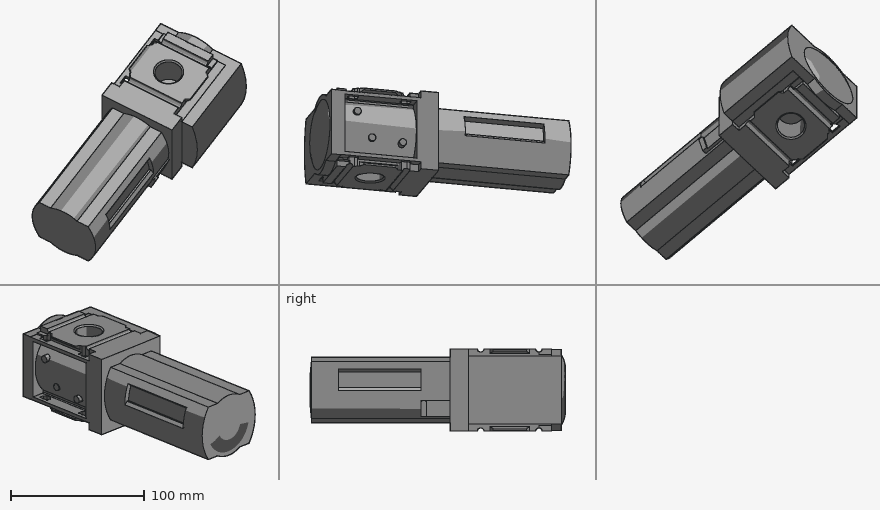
import cadquery as cq
import math


TOTAL_LENGTH = 192.0
DOME_TOP_Y = 41.9
BACK_Y = 38.8
END_CONE_HEIGHT = 1.0
HANDLE_TIP_Y = DOME_TOP_Y - TOTAL_LENGTH
HANDLE_END_Y = HANDLE_TIP_Y + END_CONE_HEIGHT
PLATE_FRONT_Y = 31.3
FLANGE_FRONT_Y = -31.1
HOUSING_FRONT_Y = -45.0

TOTAL_WIDTH = 75.8
HOUSING_SIZE = 62.0
HOUSING_HALF = HOUSING_SIZE / 2
FLANGE_HALF_HEIGHT = 25.5
COVER_HALF_HEIGHT = 25.7
RAISED_HALF_WIDTH = 24.0
COVER_SHOULDER_X = 40.3
COVER_CROWN_X = TOTAL_WIDTH - HOUSING_HALF
BULGE_HALF_WIDTH = 15.2
BULGE_HEIGHT = 30.5

DOME_RADIUS = 26.7
DOME_FLAT_RADIUS = 16.5
DOME_MID_RADIUS = 22.8
DOME_MID_Y = 40.7

GROOVE_WIDTH = 4.8
GROOVE_RADIUS = GROOVE_WIDTH / 2
GROOVE_Y = 21.9
NOTCH_INNER_X = 20.0
NOTCH_FLOOR_Z = 26.7
SLOT_Y = 20.5
SLOT_OUTER_X = 27.6
SLOT_HALF_LENGTH = 3.8
SLOT_DEPTH_IN_PAD = 2.0
SLOT_TIP_HALF_LENGTH = 2.1
EAR_OUTER_X = 27.0
EAR_ROOT_HALF_LENGTH = 15.0
EAR_TIP_HALF_LENGTH = 12.5
EAR_ROOT_BOTTOM_Z = 27.5
EAR_TIP_BOTTOM_Z = 29.2
EAR_TIP_TOP_Z = 30.5

PORT_RADIUS = 10.2
PORT_MOUTH_RADIUS = 11.3
PORT_DEPTH = 23.0

WINDOW_BACK_Y = 28.2
WINDOW_FRONT_Y = -28.0
WINDOW_HALF_HEIGHT = 22.8
WINDOW_FLOOR_X = 20.4
WINDOW_FLOOR_CHAMFER = 0.8
CORE_RADIUS = 28.8
PIN_DIAMETER = 5.5
PINS = [(17.9, 11.0, 29.5), (6.1, -8.6, 28.5), (-17.3, -11.0, 30.3)]

HANDLE_WIDTH = 56.3
HANDLE_FLATS = 43.2
HANDLE_SIDE_X = HANDLE_WIDTH / 2
HANDLE_CORNER = HANDLE_FLATS / 2
HANDLE_BULGE_HALF_WIDTH = 11.7
HANDLE_BULGE_HEIGHT = 24.8
END_CONE_RADIUS = HANDLE_CORNER
END_FLAT_RADIUS = 11.5

GRIP_BACK_Y = -66.6
GRIP_FRONT_Y = -128.8
GRIP_OPENING_Z = (-0.4, 16.0)
GRIP_FLOOR_Z = (2.0, 13.5)
GRIP_DEPTH = 3.8
GRIP_BEVEL_X = 25.7
GRIP_OPENING_X = 29.2
GRIP_TOP_X = 24.5

TONGUE_TOP_Z = -7.9
TONGUE_BOTTOM_Z = -20.0
TONGUE_INNER_X = (26.1, 22.0)
TONGUE_OUTER_X = (28.6, 24.8)
TONGUE_LIP_X = (30.3, 26.0)
TONGUE_END_Y = -66.6
TONGUE_LIP_LENGTH = 4.0
TONGUE_LIP_ROUNDING = 1.3

OVERLAP = 2.0


def section(y_back):
    """Sketch plane across the part; extrusions run from y_back towards -Y."""
    return cq.Workplane("XZ", origin=(0, y_back, 0))


def block(half_width, half_height, y_front, y_back):
    return section(y_back).rect(2 * half_width, 2 * half_height).extrude(y_back - y_front)


def both_x(body):
    return body.union(body.mirror("YZ"))


def both_z(body):
    return body.union(body.mirror("XY"))


def make_housing():
    housing = block(HOUSING_HALF, FLANGE_HALF_HEIGHT, FLANGE_FRONT_Y, BACK_Y)
    pads = block(RAISED_HALF_WIDTH, HOUSING_HALF, FLANGE_FRONT_Y, PLATE_FRONT_Y)
    front_block = block(HOUSING_HALF, HOUSING_HALF, HOUSING_FRONT_Y, FLANGE_FRONT_Y)
    return housing.union(pads).union(front_block)


def make_cover():
    plate = block(HOUSING_HALF, COVER_HALF_HEIGHT, PLATE_FRONT_Y, BACK_Y)
    bulge = (
        section(BACK_Y)
        .moveTo(-BULGE_HALF_WIDTH, COVER_HALF_HEIGHT)
        .threePointArc((0, BULGE_HEIGHT), (BULGE_HALF_WIDTH, COVER_HALF_HEIGHT))
        .lineTo(BULGE_HALF_WIDTH, -COVER_HALF_HEIGHT)
        .threePointArc((0, -BULGE_HEIGHT), (-BULGE_HALF_WIDTH, -COVER_HALF_HEIGHT))
        .close()
        .extrude(BACK_Y - PLATE_FRONT_Y)
    )
    side = (
        section(BACK_Y)
        .moveTo(HOUSING_HALF, -COVER_HALF_HEIGHT)
        .lineTo(COVER_SHOULDER_X, -COVER_HALF_HEIGHT)
        .threePointArc((COVER_CROWN_X, 0), (COVER_SHOULDER_X, COVER_HALF_HEIGHT))
        .lineTo(HOUSING_HALF, COVER_HALF_HEIGHT)
        .close()
        .extrude(BACK_Y - FLANGE_FRONT_Y)
    )
    dome = (
        cq.Workplane("XY")
        .moveTo(0, BACK_Y - OVERLAP)
        .lineTo(DOME_RADIUS, BACK_Y - OVERLAP)
        .lineTo(DOME_RADIUS, BACK_Y)
        .threePointArc((DOME_MID_RADIUS, DOME_MID_Y), (DOME_FLAT_RADIUS, DOME_TOP_Y))
        .lineTo(0, DOME_TOP_Y)
        .close()
        .revolve(360, (0, 0, 0), (0, 1, 0))
    )
    return plate.union(bulge).union(side).union(dome)


def make_ears():
    """Tapered lugs on both flanks of both pads."""
    root_x = RAISED_HALF_WIDTH - OVERLAP
    profile = (
        section(EAR_ROOT_HALF_LENGTH)
        .polyline([
            (root_x, EAR_ROOT_BOTTOM_Z),
            (RAISED_HALF_WIDTH, EAR_ROOT_BOTTOM_Z),
            (EAR_OUTER_X, EAR_TIP_BOTTOM_Z),
            (EAR_OUTER_X, EAR_TIP_TOP_Z),
            (RAISED_HALF_WIDTH, HOUSING_HALF),
            (root_x, HOUSING_HALF),
        ])
        .close()
        .extrude(2 * EAR_ROOT_HALF_LENGTH)
    )
    outline = (
        cq.Workplane("XY")
        .polyline([
            (root_x, -EAR_ROOT_HALF_LENGTH),
            (RAISED_HALF_WIDTH, -EAR_ROOT_HALF_LENGTH),
            (EAR_OUTER_X, -EAR_TIP_HALF_LENGTH),
            (EAR_OUTER_X, EAR_TIP_HALF_LENGTH),
            (RAISED_HALF_WIDTH, EAR_ROOT_HALF_LENGTH),
            (root_x, EAR_ROOT_HALF_LENGTH),
        ])
        .close()
        .extrude(HOUSING_HALF)
    )
    return both_z(both_x(profile.intersect(outline)))


def make_grooves():
    """Round cross grooves over the full pad width."""
    length = 2 * RAISED_HALF_WIDTH
    centres = [(y, z) for y in (-GROOVE_Y, GROOVE_Y) for z in (-HOUSING_HALF, HOUSING_HALF)]
    return (
        cq.Workplane("YZ", origin=(-RAISED_HALF_WIDTH, 0, 0))
        .pushPoints(centres)
        .circle(GROOVE_RADIUS)
        .extrude(length)
    )


def make_notches():
    """Corner notches at the back end of the pads."""
    notch = cq.Workplane("XY").box(
        RAISED_HALF_WIDTH - NOTCH_INNER_X,
        PLATE_FRONT_Y - GROOVE_Y,
        HOUSING_HALF - NOTCH_FLOOR_Z,
        centered=False,
    ).translate((NOTCH_INNER_X, GROOVE_Y, NOTCH_FLOOR_Z))
    return both_z(both_x(notch))


def make_ports():
    mouth_depth = PORT_MOUTH_RADIUS - PORT_RADIUS
    port = (
        cq.Workplane("XZ")
        .polyline([
            (0, HOUSING_HALF),
            (PORT_MOUTH_RADIUS, HOUSING_HALF),
            (PORT_RADIUS, HOUSING_HALF - mouth_depth),
            (PORT_RADIUS, HOUSING_HALF - PORT_DEPTH),
            (0, HOUSING_HALF - PORT_DEPTH),
        ])
        .close()
        .revolve(360, (0, 0, 0), (0, 1, 0))
    )
    return both_z(port)


def make_window():
    """Pocket behind the -X flanges, leaving the round core and its pins standing."""
    length = WINDOW_BACK_Y - WINDOW_FRONT_Y
    depth = HOUSING_HALF - WINDOW_FLOOR_X
    pocket = (
        section(WINDOW_BACK_Y)
        .center(-(HOUSING_HALF + WINDOW_FLOOR_X) / 2, 0)
        .rect(depth, 2 * WINDOW_HALF_HEIGHT)
        .extrude(length)
        .edges(">X and |Y")
        .chamfer(WINDOW_FLOOR_CHAMFER)
    )
    core = section(WINDOW_BACK_Y).circle(CORE_RADIUS).extrude(length)
    pocket = pocket.cut(core)
    for pin_y, pin_z, reach in PINS:
        pin = (
            cq.Workplane("YZ", origin=(-reach, 0, 0))
            .center(pin_y, pin_z)
            .circle(PIN_DIAMETER / 2)
            .extrude(reach)
        )
        pocket = pocket.cut(pin)
    return pocket


def make_clamp_slots():
    """Slots through the -X flanges into the window, biting into the pad flanks."""
    height = HOUSING_HALF - WINDOW_HALF_HEIGHT
    tip_x = RAISED_HALF_WIDTH - SLOT_DEPTH_IN_PAD
    slot = (
        cq.Workplane("XY", origin=(0, SLOT_Y, WINDOW_HALF_HEIGHT))
        .polyline([
            (-SLOT_OUTER_X, -SLOT_HALF_LENGTH),
            (-RAISED_HALF_WIDTH, -SLOT_HALF_LENGTH),
            (-tip_x, -SLOT_TIP_HALF_LENGTH),
            (-tip_x, SLOT_TIP_HALF_LENGTH),
            (-RAISED_HALF_WIDTH, SLOT_HALF_LENGTH),
            (-SLOT_OUTER_X, SLOT_HALF_LENGTH),
        ])
        .close()
        .extrude(height)
    )
    return both_z(slot.union(slot.mirror("XZ")))


def make_handle():
    grip = (
        section(HOUSING_FRONT_Y + OVERLAP)
        .moveTo(-HANDLE_CORNER, HANDLE_CORNER)
        .lineTo(-HANDLE_BULGE_HALF_WIDTH, HANDLE_CORNER)
        .threePointArc((0, HANDLE_BULGE_HEIGHT), (HANDLE_BULGE_HALF_WIDTH, HANDLE_CORNER))
        .lineTo(HANDLE_CORNER, HANDLE_CORNER)
        .threePointArc((HANDLE_SIDE_X, 0), (HANDLE_CORNER, -HANDLE_CORNER))
        .lineTo(HANDLE_BULGE_HALF_WIDTH, -HANDLE_CORNER)
        .threePointArc((0, -HANDLE_BULGE_HEIGHT), (-HANDLE_BULGE_HALF_WIDTH, -HANDLE_CORNER))
        .lineTo(-HANDLE_CORNER, -HANDLE_CORNER)
        .threePointArc((-HANDLE_SIDE_X, 0), (-HANDLE_CORNER, HANDLE_CORNER))
        .close()
        .extrude(HOUSING_FRONT_Y + OVERLAP - HANDLE_END_Y)
    )
    end_cone = (
        cq.Workplane("XY")
        .polyline([
            (0, HANDLE_END_Y),
            (END_CONE_RADIUS, HANDLE_END_Y),
            (END_FLAT_RADIUS, HANDLE_TIP_Y),
            (0, HANDLE_TIP_Y),
        ])
        .close()
        .revolve(360, (0, 0, 0), (0, 1, 0))
    )
    return grip.union(end_cone)


def make_grip_pockets():
    bottom_z, top_z = GRIP_OPENING_Z
    floor_bottom_z, floor_top_z = GRIP_FLOOR_Z
    floor_middle_z = (floor_bottom_z + floor_top_z) / 2
    side_rise = HANDLE_SIDE_X - HANDLE_CORNER
    side_radius = (HANDLE_CORNER**2 + side_rise**2) / (2 * side_rise)
    side_centre_x = HANDLE_SIDE_X - side_radius
    floor_radius = side_radius - GRIP_DEPTH

    def floor_point(z):
        return (side_centre_x + math.sqrt(floor_radius**2 - z**2), z)

    pocket = (
        section(GRIP_BACK_Y)
        .moveTo(GRIP_OPENING_X, bottom_z)
        .lineTo(HANDLE_SIDE_X, bottom_z)
        .lineTo(GRIP_BEVEL_X, floor_bottom_z)
        .lineTo(*floor_point(floor_bottom_z))
        .threePointArc(floor_point(floor_middle_z), floor_point(floor_top_z))
        .lineTo(GRIP_TOP_X, top_z)
        .lineTo(GRIP_OPENING_X, top_z)
        .close()
        .extrude(GRIP_BACK_Y - GRIP_FRONT_Y)
    )
    return both_x(pocket)


def tongue_bar(outer_x, y_back):
    """Slanted bar lying on the +X side of the handle, ending at the tongue tip."""
    return (
        section(y_back)
        .polyline([
            (TONGUE_INNER_X[0], TONGUE_TOP_Z),
            (outer_x[0], TONGUE_TOP_Z),
            (outer_x[1], TONGUE_BOTTOM_Z),
            (TONGUE_INNER_X[1], TONGUE_BOTTOM_Z),
        ])
        .close()
        .extrude(y_back - TONGUE_END_Y)
    )


def make_lock_tongue():
    strip = tongue_bar(TONGUE_OUTER_X, HOUSING_FRONT_Y)
    lip = tongue_bar(TONGUE_LIP_X, TONGUE_END_Y + TONGUE_LIP_LENGTH)
    lip = lip.faces(">X").edges("#Y").fillet(TONGUE_LIP_ROUNDING)
    return strip.union(lip)


body = make_housing().union(make_cover()).union(make_ears())
for cutter in (make_grooves(), make_notches(), make_ports(), make_window(), make_clamp_slots()):
    body = body.cut(cutter)

handle = make_handle().cut(make_grip_pockets()).union(make_lock_tongue())
result = body.union(handle)